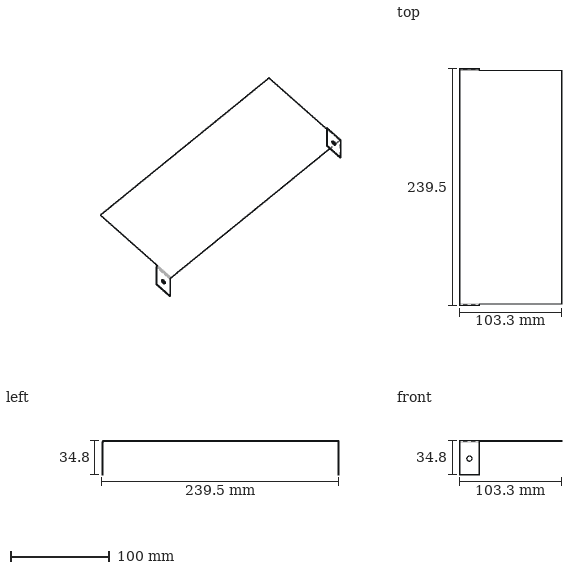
import cadquery as cq

depth = 103.26
overall_width = 239.47
overall_height = 34.79

thickness = 1.0
outer_bend_radius = 1.735
inner_bend_radius = outer_bend_radius - thickness
plate_width = overall_width - 2 * outer_bend_radius

tab_width = 20.0
hole_diameter = 5.0
hole_drop = (overall_height + outer_bend_radius) / 2


def flat_plate():
    """Flat shelf with its top face at Z = 0 and its -X edge at X = 0."""
    return cq.Workplane("XY").box(
        depth, plate_width, thickness, centered=(False, True, False)
    ).translate((0, 0, -thickness))


def bent_tabs():
    """Both tabs with their rounded bends, joined by a strip of the plate."""
    bracket = cq.Workplane("XY").box(
        tab_width, overall_width, overall_height, centered=(False, True, False)
    ).translate((0, 0, -overall_height))
    bracket = bracket.edges("|X and >Z").fillet(outer_bend_radius)

    inside = cq.Workplane("XY").box(
        tab_width, overall_width - 2 * thickness, overall_height, centered=(False, True, False)
    ).translate((0, 0, -overall_height - thickness))
    inside = inside.edges("|X and >Z").fillet(inner_bend_radius)
    return bracket.cut(inside)


def tab_holes():
    """One cylinder along Y that pierces the middle of both tabs."""
    return (
        cq.Workplane("XZ")
        .center(tab_width / 2, -hole_drop)
        .circle(hole_diameter / 2)
        .extrude(overall_width / 2, both=True)
    )


result = flat_plate().union(bent_tabs()).cut(tab_holes())